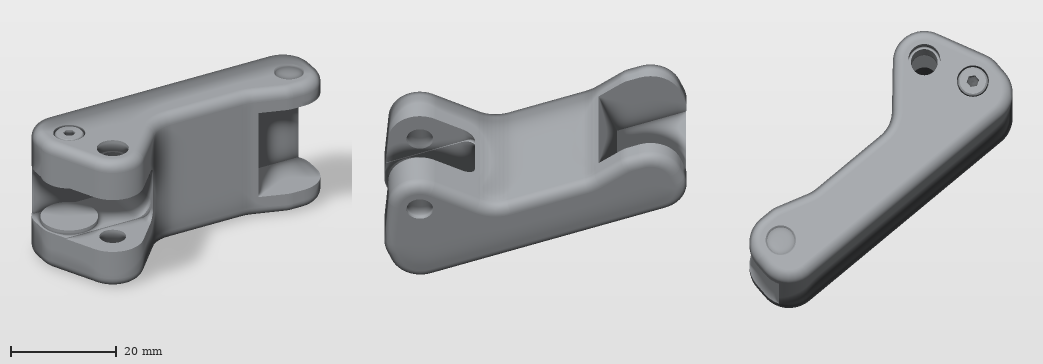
import cadquery as cq
import math

TILT = 7.0

HEIGHT = 27.2
TOP = HEIGHT / 2
END_RADIUS = 5.95
RIM_FILLET = 2.0

PIN_Y = 47.65
BACK_CORNER_X = -2.45
EYE_X, EYE_Y = 9.1, 4.35

WAIST_X = 3.55
SHOULDER_FLAT_END_Y = 44.55
SHOULDER_ANGLE = 17.0
SHOULDER_RADIUS = 4.5
WAIST_TOP_RADIUS = 7.15
EYE_FLANK_ANGLE = 48.7
CROTCH_RADIUS = 6.3

SLOT_WALL_X = -5.5
SLOT_BACK_Y = 14.5
SLOT_STEP_X = 5.65
SCREW_GAP, SCREW_CORNER = 10.95, 3.2
EYE_GAP, EYE_CORNER = 11.3, 1.8
MOUTH_BEVEL_START_Y = -4.6
MOUTH_BEVEL_ANGLE = 25.0
WASHER_RADIUS = 5.5
WASHER_GAP = 9.15

PIN_SLOT_GAP = 18.3
PIN_SLOT_CLEARANCE = 8.9

COUNTERBORE_DIAMETER, COUNTERBORE_DEPTH = 6.05, 2.3
EYE_BORE_DIAMETER = 5.05
PIN_RECESS_DIAMETER, PIN_RECESS_DEPTH = 5.75, 0.35
PIN_RECESS_TAPER = 40.0
HEAD_DIAMETER, HEAD_CHAMFER = 5.55, 0.3
SOCKET_ACROSS_CORNERS, SOCKET_DEPTH = 2.4, 1.2
SOCKET_CONE_DEPTH = 0.6

CLEAR = 2 * END_RADIUS


def on_circle(x, y, angle):
    """Point on an end circle centred at (x, y)."""
    a = math.radians(angle)
    return (x + END_RADIUS * math.cos(a), y + END_RADIUS * math.sin(a))


def handle_block():
    """Outline with tangent end arcs, extruded, with all rims rounded."""
    under_angle = math.degrees(math.atan2(EYE_Y, EYE_X)) - 90
    flank = math.radians(EYE_FLANK_ANGLE)
    crotch_y = EYE_Y + (END_RADIUS - (WAIST_X - EYE_X) * math.cos(flank)) / math.sin(flank)
    waist_drop = (END_RADIUS - WAIST_X) / math.tan(math.radians(SHOULDER_ANGLE))
    waist_top_y = SHOULDER_FLAT_END_Y - waist_drop

    block = (
        cq.Workplane("XY", origin=(0, 0, -TOP))
        .moveTo(*on_circle(BACK_CORNER_X, 0, 180))
        .threePointArc(on_circle(BACK_CORNER_X, 0, 225), on_circle(BACK_CORNER_X, 0, 270))
        .lineTo(*on_circle(0, 0, 270))
        .threePointArc(on_circle(0, 0, (under_angle - 90) / 2), on_circle(0, 0, under_angle))
        .lineTo(*on_circle(EYE_X, EYE_Y, under_angle))
        .threePointArc(
            on_circle(EYE_X, EYE_Y, (under_angle + EYE_FLANK_ANGLE) / 2),
            on_circle(EYE_X, EYE_Y, EYE_FLANK_ANGLE),
        )
        .lineTo(WAIST_X, crotch_y)
        .lineTo(WAIST_X, waist_top_y)
        .lineTo(END_RADIUS, SHOULDER_FLAT_END_Y)
        .lineTo(*on_circle(0, PIN_Y, 0))
        .threePointArc(on_circle(0, PIN_Y, 45), on_circle(0, PIN_Y, 90))
        .lineTo(*on_circle(BACK_CORNER_X, PIN_Y, 90))
        .threePointArc(on_circle(BACK_CORNER_X, PIN_Y, 135), on_circle(BACK_CORNER_X, PIN_Y, 180))
        .close()
        .extrude(HEIGHT)
    )
    corners = (
        (WAIST_X, crotch_y, CROTCH_RADIUS),
        (WAIST_X, waist_top_y, WAIST_TOP_RADIUS),
        (END_RADIUS, SHOULDER_FLAT_END_Y, SHOULDER_RADIUS),
    )
    for x, y, radius in corners:
        block = block.edges(cq.selectors.NearestToPointSelector((x, y, 0))).fillet(radius)
    return block.faces("<Z or >Z").edges().fillet(RIM_FILLET)


def slot_cutter(x_start, x_end, y_start, y_end, gap):
    """Box centred on mid height."""
    return cq.Workplane("XY").box(x_end - x_start, y_end - y_start, gap).translate(
        ((x_start + x_end) / 2, (y_start + y_end) / 2, 0)
    )


def screw_end_slot():
    """Stepped slot, rounded along its back wall, bevelled at its mouth, less the washers."""
    open_end_x = EYE_X + CLEAR
    by_screw = slot_cutter(SLOT_WALL_X, SLOT_STEP_X, -CLEAR, SLOT_BACK_Y, SCREW_GAP)
    by_screw = by_screw.faces(">Y").edges("|X").fillet(SCREW_CORNER)
    by_eye = slot_cutter(SLOT_STEP_X, open_end_x, -CLEAR, SLOT_BACK_Y, EYE_GAP)
    by_eye = by_eye.faces(">Y").edges("|X").fillet(EYE_CORNER)
    bevel_width = END_RADIUS
    bevel_depth = bevel_width * math.tan(math.radians(MOUTH_BEVEL_ANGLE))
    bevel = (
        cq.Workplane("XY", origin=(0, 0, -SCREW_GAP / 2))
        .moveTo(SLOT_WALL_X, MOUTH_BEVEL_START_Y)
        .lineTo(SLOT_WALL_X, MOUTH_BEVEL_START_Y - bevel_depth)
        .lineTo(SLOT_WALL_X - bevel_width, MOUTH_BEVEL_START_Y - bevel_depth)
        .close()
        .extrude(SCREW_GAP)
    )
    washer_stack = cq.Workplane("XY").circle(WASHER_RADIUS).extrude(SCREW_GAP / 2, both=True)
    space_between = cq.Workplane("XY").circle(WASHER_RADIUS).extrude(WASHER_GAP / 2, both=True)
    washers = washer_stack.cut(space_between)
    return by_screw.union(by_eye).union(bevel).cut(washers)


def pin_end_slot():
    """Slot open at the pin end and on the waist side."""
    return slot_cutter(
        SLOT_WALL_X, CLEAR, PIN_Y - PIN_SLOT_CLEARANCE, PIN_Y + CLEAR, PIN_SLOT_GAP
    )


def top_plane(x, y):
    """Workplane on the top face, centred at (x, y)."""
    return cq.Workplane("XY", origin=(x, y, TOP))


def eye_hole():
    """Counterbored hole through the whole height."""
    bore = top_plane(EYE_X, EYE_Y).circle(EYE_BORE_DIAMETER / 2).extrude(-HEIGHT)
    return bore.union(
        top_plane(EYE_X, EYE_Y).circle(COUNTERBORE_DIAMETER / 2).extrude(-COUNTERBORE_DEPTH)
    )


def pin_recess():
    """Shallow recess with a sloping rim over the pin."""
    return (
        top_plane(0, PIN_Y)
        .circle(PIN_RECESS_DIAMETER / 2)
        .extrude(-PIN_RECESS_DEPTH, taper=PIN_RECESS_TAPER)
    )


def screw_gap():
    """Counterbore around the screw head, leaving the head and its hex socket."""
    head = top_plane(0, 0).circle(HEAD_DIAMETER / 2).extrude(-COUNTERBORE_DEPTH)
    head = head.faces(">Z").edges().chamfer(HEAD_CHAMFER)
    socket = top_plane(0, 0).polygon(6, SOCKET_ACROSS_CORNERS).extrude(-SOCKET_DEPTH)
    cone = cq.Solid.makeCone(
        SOCKET_ACROSS_CORNERS * math.cos(math.pi / 6) / 2,
        0,
        SOCKET_CONE_DEPTH,
        pnt=cq.Vector(0, 0, TOP - SOCKET_DEPTH),
        dir=cq.Vector(0, 0, -1),
    )
    counterbore = top_plane(0, 0).circle(COUNTERBORE_DIAMETER / 2).extrude(-COUNTERBORE_DEPTH)
    return counterbore.cut(head.cut(socket)).union(cq.Workplane(cone))


handle = handle_block()
for cutter in (screw_end_slot(), pin_end_slot(), eye_hole(), pin_recess(), screw_gap()):
    handle = handle.cut(cutter)

result = handle.rotate((0, 0, 0), (0, 0, 1), TILT)